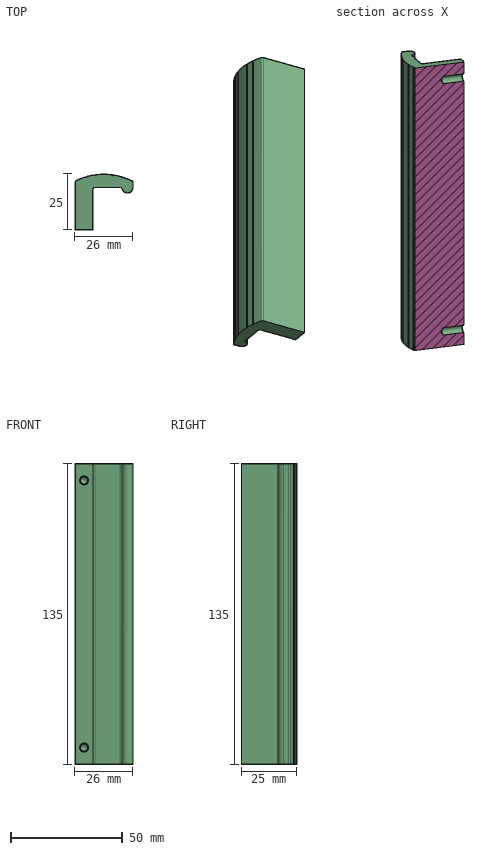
import cadquery as cq
import math

width = 26.0
depth = 25.0
length = 135.0

leg_thickness = 8.0
web_inner_y = 19.0
inner_corner_radius = 1.0
crown_radius = 28.5
crown_peak_x = 12.8
crown_edge_radius = 1.0

bead_radius = 2.5
bead_center_x = width - bead_radius
bead_center_y = web_inner_y
bead_blend_radius = 1.0

groove_radius = 0.3
groove_pitch = 4.0
groove_steps = (-2, -1, 1, 2)

hole_diameter = 3.24
hole_mouth_diameter = 4.0
hole_depth = 10.0
hole_spacing = 120.0
drill_point_angle = 118.0


def crown_y(x):
    """Height of the crown surface at a given X."""
    crown_center_y = depth - crown_radius
    return crown_center_y + math.sqrt(crown_radius**2 - (x - crown_peak_x) ** 2)


def grip_body():
    """Extruded cross-section with both edges of the crown rounded."""
    blend_center_y = web_inner_y - bead_blend_radius
    center_distance = bead_radius + bead_blend_radius
    center_rise = bead_center_y - blend_center_y
    blend_center_x = bead_center_x - math.sqrt(center_distance**2 - center_rise**2)
    contact_angle = math.asin(center_rise / center_distance)
    blend_mid_angle = (contact_angle + math.pi / 2) / 2

    def blend_point(angle):
        return (
            blend_center_x + bead_blend_radius * math.cos(angle),
            blend_center_y + bead_blend_radius * math.sin(angle),
        )

    profile = (
        cq.Workplane("XY")
        .lineTo(leg_thickness, 0)
        .lineTo(leg_thickness, web_inner_y - inner_corner_radius)
        .radiusArc((leg_thickness + inner_corner_radius, web_inner_y), inner_corner_radius)
        .lineTo(blend_center_x, web_inner_y)
        .threePointArc(blend_point(blend_mid_angle), blend_point(contact_angle))
        .threePointArc((bead_center_x, bead_center_y - bead_radius), (width, bead_center_y))
        .lineTo(width, crown_y(width))
        .threePointArc((crown_peak_x, depth), (0, crown_y(0)))
        .close()
    )
    body = profile.extrude(length)
    for edge_x in (0, width):
        crown_edge = cq.selectors.NearestToPointSelector((edge_x, crown_y(edge_x), length / 2))
        body = body.edges("|Z").edges(crown_edge).fillet(crown_edge_radius)
    return body


def grip_groove(x):
    """Full-length round groove centered on the crown surface."""
    return cq.Workplane("XY").center(x, crown_y(x)).circle(groove_radius).extrude(length)


def screw_hole(z):
    """Blind hole along Y with a 45 degree mouth chamfer and a drill-point bottom."""
    hole_radius = hole_diameter / 2
    mouth_radius = hole_mouth_diameter / 2
    point_depth = hole_radius / math.tan(math.radians(drill_point_angle / 2))
    return (
        cq.Workplane("XY")
        .lineTo(mouth_radius, 0)
        .lineTo(hole_radius, mouth_radius - hole_radius)
        .lineTo(hole_radius, hole_depth)
        .lineTo(0, hole_depth + point_depth)
        .close()
        .revolve(360, (0, 0), (0, 1))
        .translate((leg_thickness / 2, 0, z))
    )


result = grip_body()
for step in groove_steps:
    result = result.cut(grip_groove(width / 2 + step * groove_pitch))
for side in (-1, 1):
    result = result.cut(screw_hole(length / 2 + side * hole_spacing / 2))